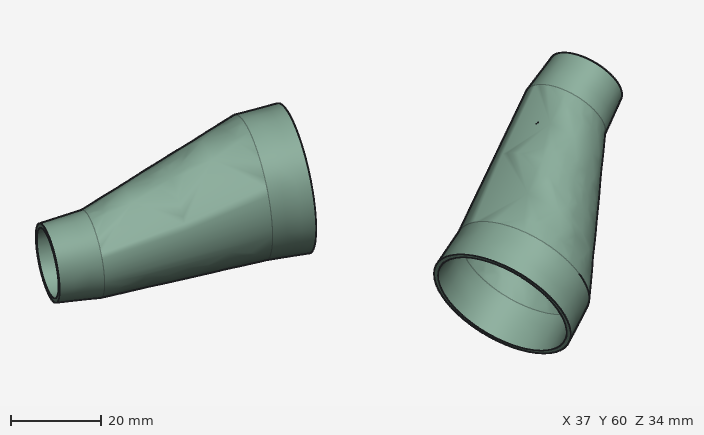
import cadquery as cq

total_length = 60.0
collar_length = 10.0
axis_offset = 10.0
wall = 1.0

mouth_diameter = 34.0
wide_joint_diameter = 33.0
narrow_joint_diameter = 20.0
tip_diameter = 18.0

mouth_y = total_length
wide_joint_y = mouth_y - collar_length
narrow_joint_y = collar_length
tip_y = 0.0


def frustum(center_x, start_y, start_diameter, end_y, end_diameter):
    """Solid lofted between two circles that share an axis parallel to Y."""
    return transition(center_x, start_y, start_diameter, center_x, end_y, end_diameter)


def transition(start_x, start_y, start_diameter, end_x, end_y, end_diameter):
    """Straight-sided loft between two circles lying in planes normal to Y."""
    return (
        cq.Workplane("XZ", origin=(start_x, start_y, 0))
        .circle(start_diameter / 2)
        .workplane(offset=start_y - end_y)
        .center(end_x - start_x, 0)
        .circle(end_diameter / 2)
        .loft(ruled=True)
    )


def reducer(inset):
    """Complete reducer body with every radius reduced by the inset."""
    shrink = 2 * inset
    wide_collar = frustum(
        0, mouth_y, mouth_diameter - shrink, wide_joint_y, wide_joint_diameter - shrink
    )
    cone = transition(
        0, wide_joint_y, wide_joint_diameter - shrink,
        axis_offset, narrow_joint_y, narrow_joint_diameter - shrink,
    )
    narrow_collar = frustum(
        axis_offset, narrow_joint_y, narrow_joint_diameter - shrink, tip_y, tip_diameter - shrink
    )
    return wide_collar.union(cone).union(narrow_collar)


result = reducer(0).cut(reducer(wall))